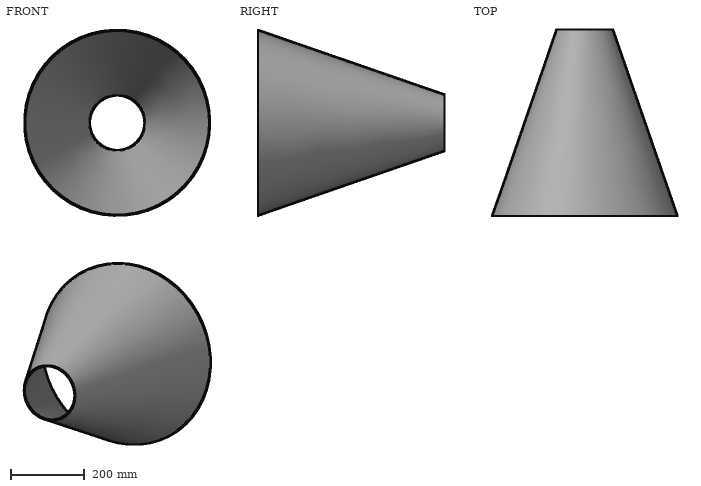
import cadquery as cq

length = 508.0
mouth_diameter = 506.0
neck_diameter = 154.0
wall_radial = 3.0

mouth_radius = mouth_diameter / 2
neck_radius = neck_diameter / 2

wall_section = (
    cq.Workplane("XY")
    .moveTo(mouth_radius - wall_radial, 0)
    .lineTo(mouth_radius, 0)
    .lineTo(neck_radius, length)
    .lineTo(neck_radius - wall_radial, length)
    .close()
)

result = wall_section.revolve(360, (0, 0, 0), (0, 1, 0))